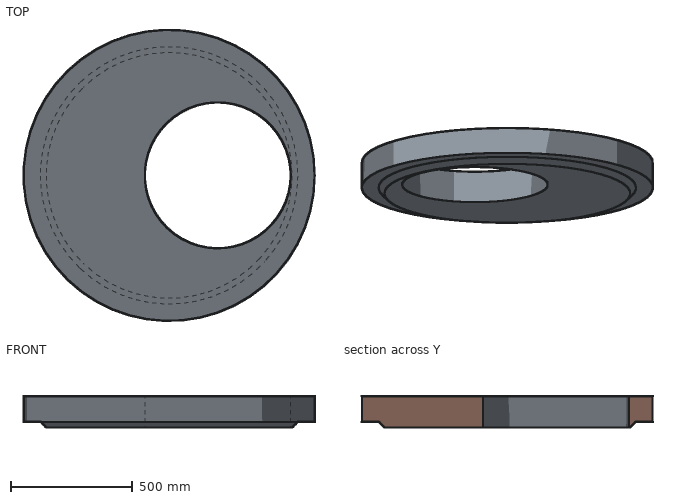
import cadquery as cq

plate_diameter = 1200.0
total_height = 130.0
rim_height = 24.0
plate_thickness = total_height - rim_height

rim_top_radius = 530.0
rim_bottom_radius = 506.0

hole_diameter = plate_diameter / 2
hole_offset = 200.0

plate = (
    cq.Workplane("XY")
    .workplane(offset=rim_height)
    .circle(plate_diameter / 2)
    .extrude(plate_thickness)
)

rim = (
    cq.Workplane("XZ")
    .polyline([(0, 0), (rim_bottom_radius, 0), (rim_top_radius, rim_height), (0, rim_height)])
    .close()
    .revolve(360, (0, 0, 0), (0, 1, 0))
)

hole = (
    cq.Workplane("XY")
    .center(hole_offset, 0)
    .circle(hole_diameter / 2)
    .extrude(total_height)
)

result = plate.union(rim).cut(hole)